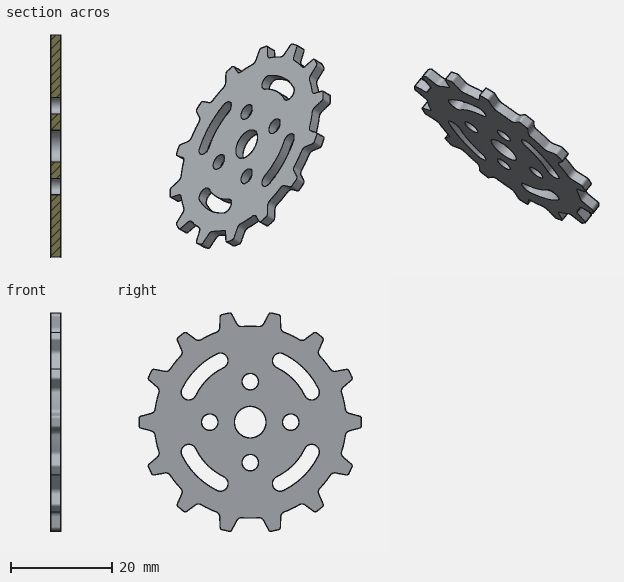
import cadquery as cq
import math

thickness = 2.0
tooth_count = 14
tip_radius = 22.0
root_radius = 19.0
tip_half_width = 1.1
flank_angle = 15
tip_fillet = 0.55
root_fillet = 1.0

bore_diameter = 6.2
bolt_hole_diameter = 3.2
bolt_circle_radius = 8.0
bolt_hole_count = 4
slot_radius = 13.5
slot_width = 3.0
slot_count = 4
slot_end_angle = 25.9

full_turn = 360
pitch_angle = full_turn / tooth_count
slot_spacing_angle = full_turn / slot_count


def polar(radius, angle):
    """Point in the plate plane at an angle in degrees from the Y axis."""
    return (radius * math.cos(math.radians(angle)), radius * math.sin(math.radians(angle)))


def flank_root_angle():
    """Angle from a tooth centreline to where its flank meets the root circle."""
    slope = math.radians(flank_angle)
    flank_offset = tip_half_width * math.cos(slope) + tip_radius * math.sin(slope)
    return math.degrees(math.asin(flank_offset / root_radius)) - flank_angle


def round_corners(plate, corners, radius):
    """Fillet the edges across the thickness that stand at the given corners."""
    edges = cq.Workplane("YZ")
    for y, z in corners:
        edges = edges.add(plate.edges(cq.NearestToPointSelector((thickness / 2, y, z))))
    return cq.Workplane(plate.val().fillet(radius, edges.vals()))


def toothed_plate():
    """Plate with flat-tipped, tapered teeth and rounded tooth corners."""
    tip_distance = math.hypot(tip_radius, tip_half_width)
    tip_angle = math.degrees(math.atan2(tip_half_width, tip_radius))
    root_angle = flank_root_angle()

    outline = cq.Workplane("YZ").moveTo(*polar(root_radius, -root_angle))
    tip_corners = []
    root_corners = []
    for index in range(tooth_count):
        centre = index * pitch_angle
        next_centre = centre + pitch_angle
        leading_tip = polar(tip_distance, centre - tip_angle)
        trailing_tip = polar(tip_distance, centre + tip_angle)
        gap_start = polar(root_radius, centre + root_angle)
        gap_middle = polar(root_radius, centre + pitch_angle / 2)
        gap_end = polar(root_radius, next_centre - root_angle)
        outline = outline.lineTo(*leading_tip).lineTo(*trailing_tip).lineTo(*gap_start)
        outline = outline.threePointArc(gap_middle, gap_end)
        tip_corners += [leading_tip, trailing_tip]
        root_corners += [gap_start, gap_end]

    plate = outline.close().extrude(thickness)
    plate = round_corners(plate, tip_corners, tip_fillet)
    return round_corners(plate, root_corners, root_fillet)


def round_holes(centres, diameter):
    """Cutter for round holes through the plate."""
    return cq.Workplane("YZ").pushPoints(centres).circle(diameter / 2).extrude(thickness)


def curved_slot(turn):
    """Cutter for a round-ended slot following an arc about the plate centre."""
    inner_radius = slot_radius - slot_width / 2
    outer_radius = slot_radius + slot_width / 2
    start = turn + slot_end_angle
    end = turn + slot_spacing_angle - slot_end_angle
    middle = (start + end) / 2
    band = (
        cq.Workplane("YZ")
        .moveTo(*polar(inner_radius, start))
        .threePointArc(polar(inner_radius, middle), polar(inner_radius, end))
        .lineTo(*polar(outer_radius, end))
        .threePointArc(polar(outer_radius, middle), polar(outer_radius, start))
        .close()
        .extrude(thickness)
    )
    ends = [polar(slot_radius, start), polar(slot_radius, end)]
    return band.union(round_holes(ends, slot_width))


result = toothed_plate()

result = result.cut(round_holes([(0, 0)], bore_diameter))

bolt_centres = [
    polar(bolt_circle_radius, index * full_turn / bolt_hole_count) for index in range(bolt_hole_count)
]
result = result.cut(round_holes(bolt_centres, bolt_hole_diameter))

for index in range(slot_count):
    result = result.cut(curved_slot(index * slot_spacing_angle))

result = result.translate((-thickness / 2, 0, 0))